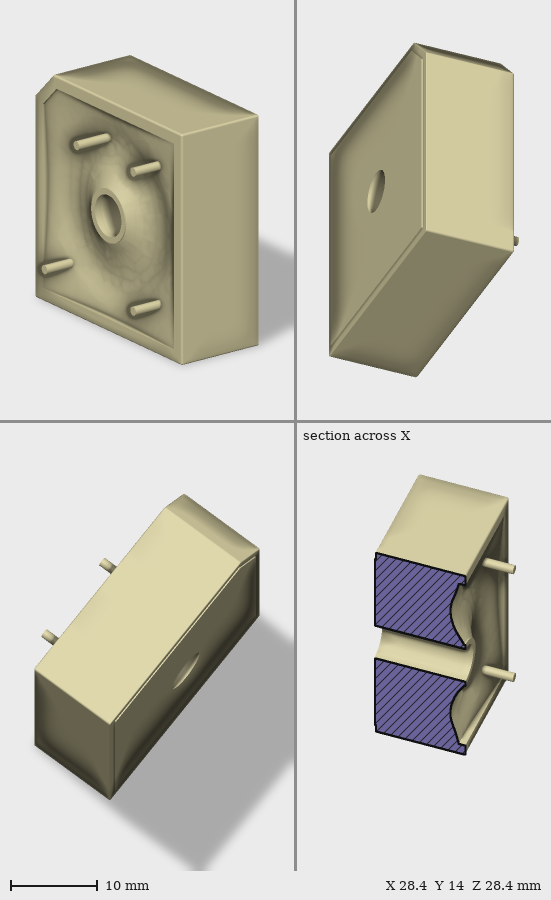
import cadquery as cq
import math

side = 28.4
block_depth = 11.1
corner_cut = 3.6
edge_radius = 0.25
back_edge_radius = 0.1
half_side = side / 2

panel_inset = 0.97
panel_height = 0.15

wall = 1.53
tube_diameter = 6.55
hole_diameter = 5.1

pin_diameter = 1.08
pin_length = 2.78
pin_spread = 8.55
pin_offset = 2.39

tube_radius = tube_diameter / 2
cavity_half_side = half_side - wall
cavity_corner_radius = cavity_half_side * math.sqrt(2)
fill_points = [
    (tube_radius, 0.17),
    (8.25, 1.87),
    (12.1, 0.95),
    (cavity_corner_radius, 0.09),
]
fill_slopes = [
    (1.0, 0.7),
    (1.0, 0.0),
    (1.0, -0.2),
    (1.0, -0.1),
]


def cut_corner_prism(inset, start_y, length):
    """Square with its -X +Z corner cut, shrunk by inset and extruded along +Y from start_y."""
    corner_points = [
        (-half_side, -half_side),
        (half_side, -half_side),
        (half_side, half_side),
        (-half_side + corner_cut, half_side),
        (-half_side, half_side - corner_cut),
    ]
    outline = cq.Workplane("XZ", origin=(0, start_y, 0)).polyline(corner_points).close()
    if inset > 0:
        outline = outline.offset2D(-inset, "intersection")
    return outline.extrude(-length)


def rod(diameter, x, z, start_y, end_y):
    """Round rod along Y from start_y to end_y."""
    return cq.Workplane("XZ", origin=(x, start_y, z)).circle(diameter / 2).extrude(start_y - end_y)


def ring_hollow():
    """Ring-shaped dish between the centre tube and the cavity walls, turned about Y."""
    return (
        cq.Workplane("XY")
        .spline(fill_points, tangents=fill_slopes)
        .lineTo(cavity_corner_radius, 0)
        .lineTo(tube_radius, 0)
        .close()
        .revolve(360, (0, 0, 0), (0, 1, 0))
    )


block = cut_corner_prism(0, 0, block_depth)
block = block.edges("not >Y").fillet(edge_radius)
block = block.faces(">Y").edges().fillet(back_edge_radius)
panel_back = block_depth + panel_height
panel_root = block_depth - panel_height
panel = cut_corner_prism(panel_inset, panel_root, panel_back - panel_root)
body = block.union(panel)

cavity = cut_corner_prism(wall, 0, block_depth)
body = body.cut(ring_hollow().intersect(cavity))

pin_root = block_depth / 2
pin_places = [
    (-pin_offset, pin_spread),
    (pin_spread, pin_spread),
    (-pin_spread, -pin_spread),
    (pin_spread, -pin_spread),
]
for pin_x, pin_z in pin_places:
    body = body.union(rod(pin_diameter, pin_x, pin_z, pin_root, -pin_length))

hole = rod(hole_diameter, 0, 0, panel_back, 0)
result = body.cut(hole)